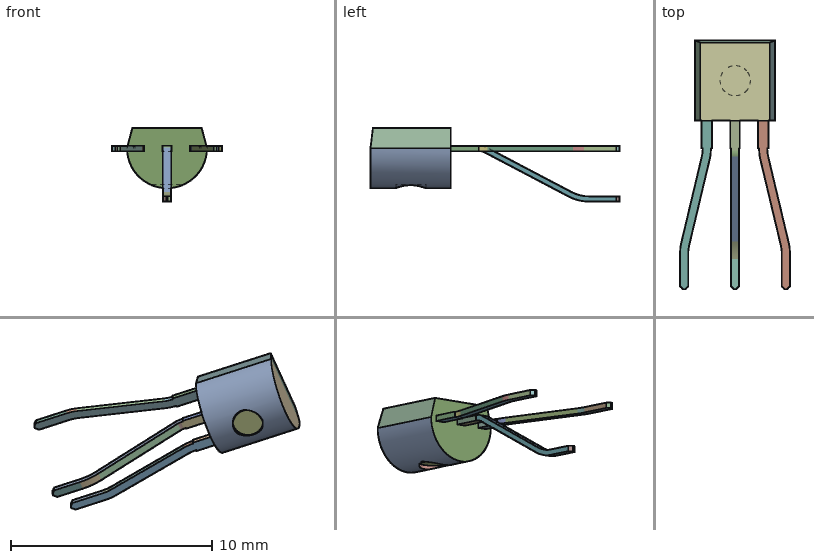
import cadquery as cq
import math


body_radius = 2.0
body_length = 4.0
flat_height = 1.0
side_draft = 15
rear_draft = 7
pin_mark_diameter = 1.5
pin_mark_depth = 0.2

overall_length = 12.4
lead_reach = overall_length - body_length
lead_width = 0.42
lead_thickness = 0.27
lead_z = -0.02
tip_chamfer = 0.16
shoulder_length = 1.38
outer_shoulder_width = 0.53
middle_shoulder_width = 0.5

outer_pitch = 1.4
overall_width = 5.48
outer_spread = (overall_width - lead_width) / 2 - outer_pitch
outer_bend_end = 6.61
outer_bend_radius = 2.11

overall_height = 3.67
middle_drop = overall_height - flat_height - lead_thickness / 2 + lead_z
middle_bend_start = 1.49
middle_bend_end = 6.87
middle_first_radius = 0.5
middle_second_radius = 2.0


def make_body():
    top_half_width = body_radius - flat_height * math.tan(math.radians(side_draft))
    body = (
        cq.Workplane("XZ")
        .moveTo(-body_radius, 0)
        .threePointArc((0, -body_radius), (body_radius, 0))
        .lineTo(top_half_width, flat_height)
        .lineTo(-top_half_width, flat_height)
        .close()
        .extrude(-body_length)
    )
    rear_inset = flat_height * math.tan(math.radians(rear_draft))
    rear_wedge = (
        cq.Workplane("YZ")
        .moveTo(body_length, 0)
        .lineTo(body_length, flat_height)
        .lineTo(body_length - rear_inset, flat_height)
        .close()
        .extrude(body_radius, both=True)
    )
    pin_mark = (
        cq.Workplane("XY", origin=(0, body_length / 2, -body_radius))
        .circle(pin_mark_diameter / 2)
        .extrude(pin_mark_depth)
    )
    return body.cut(rear_wedge).cut(pin_mark)


def formed_path(plane, bend_start, bend_end, shift, first_radius, second_radius):
    """Lead centreline: local x runs along the lead, local y is the sideways shift.

    Two opposite tangent bends joined by a straight carry the lead over by `shift`.
    """
    run = bend_end - bend_start
    radius_sum = first_radius + second_radius
    slant_length = math.sqrt(run**2 + shift**2 - 2 * radius_sum * shift)
    angle = math.atan2(run, radius_sum - shift) - math.atan2(slant_length, radius_sum)
    first_bend_end = (
        bend_start + first_radius * math.sin(angle),
        first_radius * (1 - math.cos(angle)),
    )
    second_bend_start = (
        bend_end - second_radius * math.sin(angle),
        shift - second_radius * (1 - math.cos(angle)),
    )
    return (
        cq.Workplane(plane)
        .lineTo(bend_start, 0)
        .tangentArcPoint(first_bend_end, relative=False)
        .lineTo(*second_bend_start)
        .tangentArcPoint((bend_end, shift), relative=False)
        .lineTo(lead_reach, shift)
    )


def make_lead(x, shoulder_width, path):
    root = cq.Workplane("XZ", origin=(x, 0, lead_z))
    strip = root.rect(lead_width, lead_thickness).sweep(path)
    strip = strip.faces("<Y").edges("|Z").chamfer(tip_chamfer)
    shoulder = root.rect(shoulder_width, lead_thickness).extrude(shoulder_length)
    return strip.union(shoulder)


def make_outer_lead(side):
    x = side * outer_pitch
    plane = cq.Plane(origin=(x, 0, lead_z), xDir=(0, -1, 0), normal=(0, 0, side))
    path = formed_path(
        plane, shoulder_length, outer_bend_end, outer_spread, outer_bend_radius, outer_bend_radius
    )
    return make_lead(x, outer_shoulder_width, path)


def make_middle_lead():
    plane = cq.Plane(origin=(0, 0, lead_z), xDir=(0, -1, 0), normal=(1, 0, 0))
    path = formed_path(
        plane, middle_bend_start, middle_bend_end, middle_drop, middle_first_radius, middle_second_radius
    )
    return make_lead(0, middle_shoulder_width, path)


result = make_body().union(make_middle_lead())
for side in (-1, 1):
    result = result.union(make_outer_lead(side))